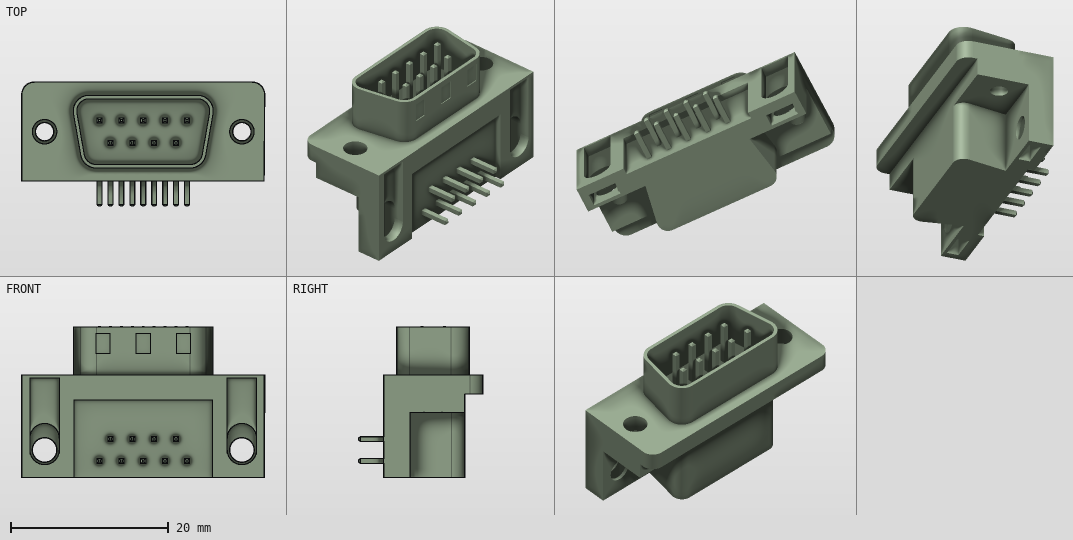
import cadquery as cq
import math


HOUSING_WIDTH = 30.81
SIDE_TAPER = 0.08
FRONT_Y = -6.27
FLANGE_BACK_Y = 6.3
BLOCK_BACK_Y = 4.04
FLANGE_THICKNESS = 2.44
FLANGE_CORNER_RADIUS = 1.62
BLOCK_HEIGHT = 4.73
HOUSING_HEIGHT = 13.0
PLATE_THICKNESS = 3.35

SHELL_HEIGHT = 6.1
SHELL_HALF_DEPTH = 4.61
SHELL_CORNER_RADIUS = 2.0
SHELL_BACK_CENTRE_X = 6.87
SHELL_SIDE_ANGLE = 10.0
SHELL_WALL = 0.45
REAR_INSET = SHELL_HALF_DEPTH - BLOCK_BACK_Y

WINDOW_WIDTH = 1.8
WINDOW_HEIGHT = 2.5
WINDOW_DEPTH = 0.1
WINDOW_PITCH = 5.11
WINDOW_TOP_GAP = 0.85

MOUNT_X = 12.5
FLANGE_HOLE_DIAMETER = 3.1
FLANGE_THREAD_DIAMETER = 2.3
BOARD_HOLE_DIAMETER = 3.08
BOARD_HOLE_Z = -9.5
SLOT_WIDTH = 3.72
SLOT_TOP_Z = -0.37
SLOT_DEPTH = 1.34
INSERT_POCKET_CENTRE_Z = -8.0
INSERT_POCKET_DEPTH = 2.9

RECESS_WIDTH = 17.55
RECESS_TOP_Z = -3.15
RECESS_DEPTH = 0.85

BACK_ROW_PINS = 5
FRONT_ROW_PINS = 4
PIN_SIZE = 0.65
PIN_TIP = 0.2
PIN_PITCH = 2.77
PIN_ROW_SPACING = 2.84
SOLDER_ROW_SPACING = 2.78
SOLDER_LOW_ROW_Z = -10.9
PIN_TOP_Z = 6.15
PIN_END_Y = -9.42


def box(x_range, y_range, z_range):
    """Box between pairs of limits."""
    size = [high - low for low, high in (x_range, y_range, z_range)]
    solid = cq.Workplane("XY").box(*size, centered=False)
    return solid.translate((x_range[0], y_range[0], z_range[0]))


def d_prism(inset, z_low, z_high):
    """Prism with the D outline, its wall line moved inward by inset."""
    radius = SHELL_CORNER_RADIUS - inset
    centre_y = SHELL_HALF_DEPTH - SHELL_CORNER_RADIUS
    angle = math.radians(SHELL_SIDE_ANGLE)
    back_x = SHELL_BACK_CENTRE_X
    front_x = back_x - 2 * centre_y * math.tan(angle)

    def on_corner(side, centre_x, corner_y, degrees):
        turn = math.radians(degrees)
        return (side * (centre_x + radius * math.cos(turn)), corner_y + radius * math.sin(turn))

    side_turn = -SHELL_SIDE_ANGLE
    back_turns = (90, (90 + side_turn) / 2, side_turn)
    front_turns = (side_turn, (side_turn - 90) / 2, -90)
    right_back = [on_corner(1, back_x, centre_y, turn) for turn in back_turns]
    right_front = [on_corner(1, front_x, -centre_y, turn) for turn in front_turns]
    left_front = [on_corner(-1, front_x, -centre_y, turn) for turn in reversed(front_turns)]
    left_back = [on_corner(-1, back_x, centre_y, turn) for turn in reversed(back_turns)]

    outline = cq.Workplane("XY", origin=(0, 0, z_low)).moveTo(*left_back[-1])
    for start, middle, end in (right_back, right_front, left_front, left_back):
        outline = outline.lineTo(*start).threePointArc(middle, end)
    outline = outline.close()
    return outline.extrude(z_high - z_low)


def housing():
    """Flange, block below it, upright plate and the D-shaped rear of the insert."""
    half = HOUSING_WIDTH / 2
    flange = box((-half, half), (FRONT_Y, FLANGE_BACK_Y), (-FLANGE_THICKNESS, 0))
    flange = flange.edges("|Z and >Y").fillet(FLANGE_CORNER_RADIUS)
    block = box((-half, half), (FRONT_Y, BLOCK_BACK_Y), (-BLOCK_HEIGHT, 0))
    plate = box((-half, half), (FRONT_Y, FRONT_Y + PLATE_THICKNESS), (-HOUSING_HEIGHT, 0))
    rear = d_prism(REAR_INSET, -HOUSING_HEIGHT, 0)
    taper = (
        cq.Workplane("XY")
        .moveTo(half, FLANGE_BACK_Y - FLANGE_CORNER_RADIUS)
        .lineTo(half, FRONT_Y)
        .lineTo(half - SIDE_TAPER, FRONT_Y)
        .close()
        .extrude(-HOUSING_HEIGHT)
    )
    return flange.union(block).union(plate).cut(taper).union(rear)


def shell():
    """Thin D-shaped wall with shallow windows in its front face."""
    body = d_prism(0, 0, SHELL_HEIGHT).cut(d_prism(SHELL_WALL, 0, SHELL_HEIGHT))
    window_top = SHELL_HEIGHT - WINDOW_TOP_GAP
    for step in (-1, 0, 1):
        centre = step * WINDOW_PITCH
        window = box(
            (centre - WINDOW_WIDTH / 2, centre + WINDOW_WIDTH / 2),
            (-SHELL_HALF_DEPTH, -SHELL_HALF_DEPTH + WINDOW_DEPTH),
            (window_top - WINDOW_HEIGHT, window_top),
        )
        body = body.cut(window)
    return body


def front_cut(x, z, diameter, depth):
    """Round cutter entering the front face along +Y."""
    plane = cq.Workplane("XZ", origin=(x, FRONT_Y, z))
    return plane.circle(diameter / 2).extrude(-depth)


def front_slot(x, z_low, z_high, depth):
    """Square-ended cutter of the slot width entering the front face."""
    return box((x - SLOT_WIDTH / 2, x + SLOT_WIDTH / 2), (FRONT_Y, FRONT_Y + depth), (z_low, z_high))


def mounting_cuts(x):
    """Flange hole, board hole and the stepped slot at one end of the housing."""
    flange_hole = cq.Workplane("XY").center(x, 0).circle(FLANGE_HOLE_DIAMETER / 2).extrude(-FLANGE_THICKNESS)
    thread_hole = cq.Workplane("XY").center(x, 0).circle(FLANGE_THREAD_DIAMETER / 2).extrude(-BLOCK_HEIGHT)
    slot = front_slot(x, BOARD_HOLE_Z, SLOT_TOP_Z, SLOT_DEPTH)
    slot = slot.union(front_cut(x, BOARD_HOLE_Z, SLOT_WIDTH, SLOT_DEPTH))
    insert_y = (FRONT_Y + SLOT_DEPTH, FRONT_Y + INSERT_POCKET_DEPTH)
    half = SLOT_WIDTH / 2
    insert_pocket = box((x - half, x + half), insert_y, (-HOUSING_HEIGHT, INSERT_POCKET_CENTRE_Z))
    insert_pocket = insert_pocket.union(front_cut(x, INSERT_POCKET_CENTRE_Z, SLOT_WIDTH, INSERT_POCKET_DEPTH))
    board_hole = front_cut(x, BOARD_HOLE_Z, BOARD_HOLE_DIAMETER, PLATE_THICKNESS)
    cuts = flange_hole
    for cutter in (thread_hole, slot, insert_pocket, board_hole):
        cuts = cuts.union(cutter)
    return cuts


def solder_recess():
    """Shallow recess open at the bottom, around the solder pins."""
    half = RECESS_WIDTH / 2
    return box((-half, half), (FRONT_Y, FRONT_Y + RECESS_DEPTH), (-HOUSING_HEIGHT, RECESS_TOP_Z))


def pin(x, y, z):
    """Right-angle square pin bent at (y, z), with chamfered tips."""
    half = PIN_SIZE / 2
    contact = box((x - half, x + half), (y - half, y + half), (z - half, PIN_TOP_Z))
    contact = contact.faces(">Z").chamfer(PIN_TIP)
    solder_tail = box((x - half, x + half), (PIN_END_Y, y + half), (z - half, z + half))
    solder_tail = solder_tail.faces("<Y").chamfer(PIN_TIP)
    return contact.union(solder_tail)


def pin_row(count, y, z):
    """Row of pins centred on X = 0."""
    first_x = -(count - 1) / 2 * PIN_PITCH
    row = pin(first_x, y, z)
    for index in range(1, count):
        row = row.union(pin(first_x + index * PIN_PITCH, y, z))
    return row


result = housing().cut(solder_recess())
for mount_x in (-MOUNT_X, MOUNT_X):
    result = result.cut(mounting_cuts(mount_x))
result = result.union(shell())
result = result.union(pin_row(BACK_ROW_PINS, PIN_ROW_SPACING / 2, SOLDER_LOW_ROW_Z))
result = result.union(pin_row(FRONT_ROW_PINS, -PIN_ROW_SPACING / 2, SOLDER_LOW_ROW_Z + SOLDER_ROW_SPACING))